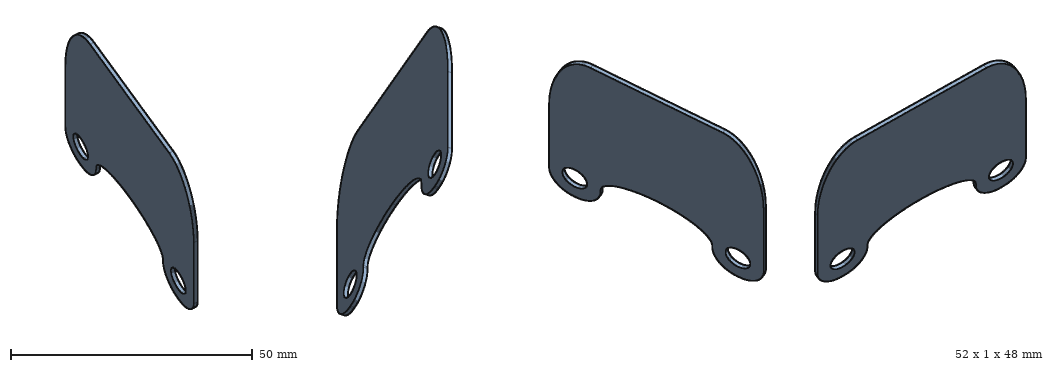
import cadquery as cq

width = 52.0
height = 48.0
thickness = 1.0

corner_width = 10.0
corner_height = 20.0

lug_width = 12.5
lug_radius = 6.0
arch_rise = 6.0
hole_diameter = 6.0
hole_height = 6.5

half_width = width / 2
half_height = height / 2
bottom = -half_height
flat_half = half_width - corner_width
lug_end = bottom + lug_radius
arch_half = half_width - lug_width
arch_spring = bottom + hole_height
hole_x = half_width - lug_width / 2


def half_plate():
    """Right half of the plate without its hole, closed along the symmetry plane."""
    return (
        cq.Workplane("XZ", origin=(0, thickness / 2, 0))
        .moveTo(0, half_height)
        .lineTo(flat_half, half_height)
        .ellipseArc(corner_width, corner_height, 0, 90, sense=-1, startAtCurrent=True)
        .lineTo(half_width, lug_end)
        .radiusArc((half_width - lug_radius, bottom), lug_radius)
        .lineTo(arch_half + lug_radius, bottom)
        .radiusArc((arch_half, lug_end), lug_radius)
        .lineTo(arch_half, arch_spring)
        .ellipseArc(arch_half, arch_rise, 0, 90, sense=1, startAtCurrent=True)
        .close()
        .extrude(thickness)
    )


right_half = half_plate()
plate = right_half.union(right_half.mirror("YZ")).clean()

holes = (
    cq.Workplane("XZ", origin=(0, thickness / 2, 0))
    .pushPoints([(side * hole_x, arch_spring) for side in (-1, 1)])
    .circle(hole_diameter / 2)
    .extrude(thickness)
)

result = plate.cut(holes)